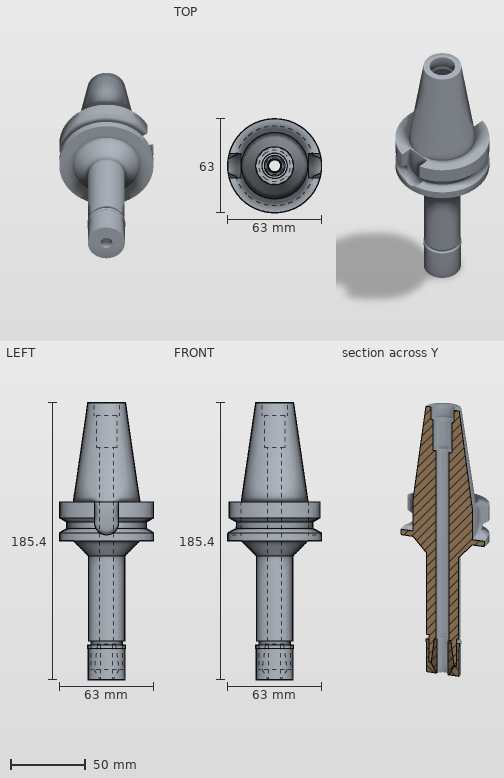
import cadquery as cq
import math


gauge_radius = 44.45 / 2
taper_length = 65.4
taper_ratio = 7 / 24
taper_top_radius = gauge_radius - taper_length * taper_ratio / 2

flange_radius = 63 / 2
flange_top = -1.0
flange_bottom = -27.0
groove_center = -16.6
groove_mouth_width = 10.0
groove_root_radius = 26.75
groove_side_angle = 30
groove_mouth_top = groove_center + groove_mouth_width / 2
groove_mouth_bottom = groove_center - groove_mouth_width / 2
groove_side_height = (flange_radius - groove_root_radius) * math.tan(math.radians(groove_side_angle))
groove_root_top = groove_mouth_top - groove_side_height
groove_root_bottom = groove_mouth_bottom + groove_side_height

slot_width = 16.1
slot_floor = 22.6
slot_bottom = -23.0

projection = 120.0
shank_radius = 24.5 / 2
shoulder_height = 10.0
shank_bottom = -94.0
nose_radius = 21.0 / 2
nose_bottom = -113.0

bore_entry_radius = 17.0 / 2
bore_entry_depth = 8.6
thread_radius = 13.835 / 2
thread_depth = 30.0
passage_radius = 9.4 / 2

collet_length = 24.0
collet_bore_radius = 8.0 / 2
collet_top_radius = 12.0 / 2
collet_taper_angle = 8
collet_front_angle = 30
collet_bottom = -projection
collet_top = collet_bottom + collet_length
collet_taper_length = collet_top - nose_bottom
collet_front_length = nose_bottom - collet_bottom
collet_max_radius = collet_top_radius + collet_taper_length * math.tan(math.radians(collet_taper_angle))
collet_front_radius = collet_max_radius - collet_front_length * math.tan(math.radians(collet_front_angle))

nut_top = -96.8
nut_collar_bottom = -99.0
nut_collar_radius = 25.4 / 2
nut_radius = 24.8 / 2


def revolve_profile(points):
    """Turn a closed outline of (radius, height) points about the Z axis."""
    return cq.Workplane("XZ").polyline(points).close().revolve(axisStart=(0, 0), axisEnd=(0, 1))


def make_drive_slot(side):
    """Cutter for one round-ended drive slot; side is -1 or +1 along X."""
    end_radius = slot_width / 2
    end_center = slot_bottom + end_radius
    return (
        cq.Workplane("YZ", origin=(side * slot_floor, 0, 0))
        .moveTo(-end_radius, flange_top)
        .lineTo(-end_radius, end_center)
        .threePointArc((0, slot_bottom), (end_radius, end_center))
        .lineTo(end_radius, flange_top)
        .close()
        .extrude(side * flange_radius)
    )


def make_holder():
    """Taper, flange, shank and nose, with a stepped bore and the collet seat."""
    body = revolve_profile([
        (taper_top_radius, taper_length),
        (gauge_radius, 0),
        (gauge_radius, flange_top),
        (flange_radius, flange_top),
        (flange_radius, groove_mouth_top),
        (groove_root_radius, groove_root_top),
        (groove_root_radius, groove_root_bottom),
        (flange_radius, groove_mouth_bottom),
        (flange_radius, flange_bottom),
        (shank_radius + shoulder_height, flange_bottom),
        (shank_radius, flange_bottom - shoulder_height),
        (shank_radius, shank_bottom),
        (nose_radius, shank_bottom),
        (nose_radius, nose_bottom),
        (collet_max_radius, nose_bottom),
        (collet_top_radius, collet_top),
        (passage_radius, collet_top),
        (passage_radius, taper_length - thread_depth),
        (thread_radius, taper_length - thread_depth),
        (thread_radius, taper_length - bore_entry_depth),
        (bore_entry_radius, taper_length - bore_entry_depth),
        (bore_entry_radius, taper_length),
    ])
    for side in (-1, 1):
        body = body.cut(make_drive_slot(side))
    return body


def make_nut():
    """Cap around the nose, with a collar at its top and a conical mouth for the collet."""
    return revolve_profile([
        (nose_radius, nut_top),
        (nut_collar_radius, nut_top),
        (nut_collar_radius, nut_collar_bottom),
        (nut_radius, nut_collar_bottom),
        (nut_radius, collet_bottom),
        (collet_front_radius, collet_bottom),
        (collet_max_radius, nose_bottom),
        (nose_radius, nose_bottom),
    ])


def make_collet():
    """Double-cone sleeve that fills the seats of the holder and the nut."""
    return revolve_profile([
        (collet_bore_radius, collet_top),
        (collet_top_radius, collet_top),
        (collet_max_radius, nose_bottom),
        (collet_front_radius, collet_bottom),
        (collet_bore_radius, collet_bottom),
    ])


holder = make_holder()
nut = make_nut()
collet = make_collet()

result = cq.Compound.makeCompound([holder.val(), nut.val(), collet.val()])